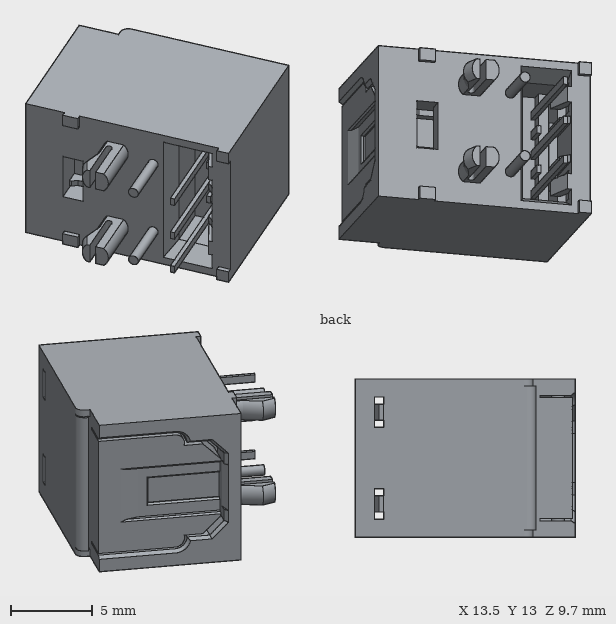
import cadquery as cq
import math

LENGTH = 13.5
HEIGHT = 9.7
BACK_Y = 9.7
SHOULDER_Y = 8.9
SHOULDER_X = 2.59
LIP_X = 2.42
LIP_HALF_WIDTH = 4.41
LIP_ROUND = 0.54
LIP_GAP = 0.14
LIP_GAP_END_X = 3.24
PIN_REACH = 3.3

NUB_HEIGHT = 0.3
NUB_WIDTH = 0.78
NUB_SPANS = [(2.55, 3.56), (12.72, LENGTH)]

MOUTH_EDGE_Y = 0.78
MOUTH_WALL_Y = 1.01
MOUTH_ARC_Y = 4.09
CHAMFER_DEPTH = 0.25
MOUTH_DEPTH = 2.16
SHUTTER_X = 0.19
SHUTTER_END_Y = 1.22
RELIEF_DEPTH = 0.81
HINGE_Y = 8.05
HINGE_DIAMETER = 0.8
HINGE_REACH = 3.92

RECESS_RAMP_START_Y = 7.48
RECESS_RAMP_END_Y = 6.36
RECESS_DEPTH = 0.35
RECESS_HALF_WIDTH = 1.75
RECESS_EDGE = 0.11
INNER_RECESS_Y = 5.79
INNER_RECESS_HALF_WIDTH = 0.93
INNER_RECESS_DEPTH = 0.22
INNER_EDGE_DEPTH = 0.14

LATCH_X0, LATCH_X1 = 2.46, 3.8
LATCH_HALF_WIDTH = 1.51
LATCH_DEPTH = 1.89
LATCH_UNDERCUT_X = 4.45
RAIL_Z0, RAIL_Z1 = 1.01, 1.39
RAIL_X = 2.58
RAIL_RAMP = 0.36
RAIL_HIGH_Y = 1.08
RAIL_LOW_Y = 1.28

BAY_X0, BAY_X1 = 9.07, 12.3
BAY_HALF_WIDTH = 4.33
BAY_FLOOR_X0 = 9.57
BAY_FLOOR_HALF_WIDTH = 3.74
BAY_TAPER_DEPTH = 1.35
BAY_DEPTH = 4.05
BLOCK_X0, BLOCK_X1 = 11.12, 11.76
BLOCK_Y = 3.24
BAY_WALL = 0.66
UNDERCUT = 0.54
STOP_HALF_WIDTH = 1.89
STOP_Y = 3.12
RIB_Z0, RIB_Z1 = 1.01, 1.48
RIB_LEAD_Y = 0.23
HOOK_X0, HOOK_X1 = 11.42, 12.04
HOOK_Z0, HOOK_Z1 = 2.31, 3.31
HOOK_DEPTH = 1.65
HOOK_THICKNESS = 0.61

CONTACT_COUNT = 5
CONTACT_PITCH = 1.27
CONTACT_WIDTH = 0.49
CONTACT_THICKNESS = 0.27
SHORT_CONTACT_Y = 2.7
POST_X, POST_Z = 8.41, 2.54
POST_DIAMETER = 0.65
CLIP_X, CLIP_Z = 5.93, 2.81
CLIP_DIAMETER = 1.66
CLIP_HALF_WIDTH = 0.63
CLIP_SLOT_X = 5.54
CLIP_SLOT_WIDTH = 0.39
CLIP_SLOT_TOP = 0.43
BARB_START, BARB_PEAK = 1.28, 2.46
BARB_BULGE = 0.38
BARB_TIP_BULGE = 0.05


def box(x0, x1, y0, y1, z0, z1):
    """Axis-aligned block between the given limits."""
    return cq.Workplane("XY").box(x1 - x0, y1 - y0, z1 - z0, centered=False).translate((x0, y0, z0))


def plate(points, z0, z1):
    """Polygon in x and y, spanning z0 to z1."""
    return cq.Workplane("XY").workplane(offset=z0).polyline(points).close().extrude(z1 - z0)


def both_sides(solid):
    """The solid together with its mirror image across z = 0."""
    return solid.union(solid.mirror("XY"))


def tapered_prism(x0, x1, outline0, outline1):
    """Straight-ruled solid between two sketched wires lying at x0 and x1."""
    return cq.Workplane(cq.Solid.makeLoft([outline0(x0).wires().val(), outline1(x1).wires().val()], True))


def mouth_outline(side_z, step_z, slant_y, end_y, end_z, radius):
    """Function that sketches the plug-shaped outline at a given x.

    From the shoulder, straight sides lead to a rounded corner, a step, a slant and the flat end.
    """
    arc_z = side_z - radius
    sweep = math.asin((step_z - arc_z) / radius)
    middle = (sweep + math.pi / 2) / 2

    def on_arc(angle, sign):
        return (MOUTH_ARC_Y - radius * math.cos(angle), sign * (arc_z + radius * math.sin(angle)))

    def sketch(x):
        return (
            cq.Workplane("YZ")
            .workplane(offset=x)
            .moveTo(SHOULDER_Y, side_z)
            .lineTo(MOUTH_ARC_Y, side_z)
            .threePointArc(on_arc(middle, 1), on_arc(sweep, 1))
            .lineTo(slant_y, step_z)
            .lineTo(end_y, end_z)
            .lineTo(end_y, -end_z)
            .lineTo(slant_y, -step_z)
            .lineTo(*on_arc(sweep, -1))
            .threePointArc(on_arc(middle, -1), (MOUTH_ARC_Y, -side_z))
            .lineTo(SHOULDER_Y, -side_z)
            .close()
        )

    return sketch


mouth_rim = mouth_outline(
    side_z=4.02, step_z=3.3, slant_y=1.81, end_y=MOUTH_EDGE_Y, end_z=2.28, radius=0.95
)
mouth_wall = mouth_outline(
    side_z=3.85, step_z=3.13, slant_y=1.9, end_y=MOUTH_WALL_Y, end_z=2.24, radius=0.77
)
shutter_outline = mouth_outline(
    side_z=3.71, step_z=2.97, slant_y=2.35, end_y=SHUTTER_END_Y, end_z=1.88, radius=0.6
)


def rounded_back(x0, half_width):
    """Slab of the housing whose rear mouth-side corner is rounded."""
    slab = box(x0, LENGTH, 0, BACK_Y, -half_width, half_width)
    return slab.edges("|Z and <X and >Y").fillet(LIP_ROUND)


def housing():
    """Block with a raised, rounded back and standoff nubs on the board face."""
    body = box(0, LENGTH, 0, SHOULDER_Y, -HEIGHT / 2, HEIGHT / 2)
    body = body.union(rounded_back(SHOULDER_X, HEIGHT / 2)).union(rounded_back(LIP_X, LIP_HALF_WIDTH))
    gap_top = SHOULDER_Y + LIP_GAP
    body = body.cut(box(LIP_X, LIP_GAP_END_X, SHOULDER_Y, gap_top, -LIP_HALF_WIDTH, LIP_HALF_WIDTH))
    for x0, x1 in NUB_SPANS:
        nub = box(x0, x1, -NUB_HEIGHT, 0, HEIGHT / 2 - NUB_WIDTH, HEIGHT / 2)
        body = body.union(both_sides(nub))
    return body


def mouth():
    """Chamfered opening, with a longer lead-in in line with the latch window."""
    opening = mouth_wall(0).extrude(MOUTH_DEPTH)
    opening = opening.union(tapered_prism(0, CHAMFER_DEPTH, mouth_rim, mouth_wall))
    lead_in = [(0, MOUTH_EDGE_Y), (RELIEF_DEPTH, MOUTH_WALL_Y), (0, MOUTH_WALL_Y)]
    return opening.union(plate(lead_in, -LATCH_HALF_WIDTH, LATCH_HALF_WIDTH))


def shutter():
    """Shutter filling the mouth, with two nested recesses and hinge pins."""
    face = SHUTTER_X
    door = shutter_outline(face).extrude(MOUTH_DEPTH - face)

    floor = face + RECESS_DEPTH
    ramped = plate(
        [(face, SHUTTER_END_Y), (face, RECESS_RAMP_START_Y), (floor, RECESS_RAMP_END_Y), (floor, SHUTTER_END_Y)],
        -RECESS_HALF_WIDTH,
        RECESS_HALF_WIDTH,
    )
    wall_z = RECESS_HALF_WIDTH - RECESS_EDGE
    edged = (
        cq.Workplane("XZ", origin=(0, BACK_Y, 0))
        .polyline([(face, RECESS_HALF_WIDTH), (face + RECESS_EDGE, wall_z), (floor, wall_z)])
        .lineTo(floor, -wall_z)
        .lineTo(face + RECESS_EDGE, -wall_z)
        .lineTo(face, -RECESS_HALF_WIDTH)
        .close()
        .extrude(BACK_Y)
    )
    door = door.cut(ramped.intersect(edged))

    def inner_outline(inset):
        width = 2 * (INNER_RECESS_HALF_WIDTH - inset)
        length = INNER_RECESS_Y - inset
        return lambda x: cq.Workplane("YZ").workplane(offset=x).center(length / 2, 0).rect(length, width)

    inner_bottom = inner_outline(RECESS_EDGE)
    door = door.cut(tapered_prism(floor, floor + INNER_EDGE_DEPTH, inner_outline(0), inner_bottom))
    door = door.cut(inner_bottom(floor).extrude(INNER_RECESS_DEPTH))

    hinge = cq.Workplane("XY", origin=(MOUTH_DEPTH / 2, HINGE_Y, 0)).circle(HINGE_DIAMETER / 2)
    return door.union(hinge.extrude(HINGE_REACH, both=True))


def latch_window():
    """Window in the board face, undercut behind the wall, with a ramped rail near each end."""
    window = box(LATCH_X0, LATCH_X1, 0, LATCH_DEPTH, -LATCH_HALF_WIDTH, LATCH_HALF_WIDTH)
    undercut = box(LATCH_X1, LATCH_UNDERCUT_X, MOUTH_WALL_Y, LATCH_DEPTH, -LATCH_HALF_WIDTH, LATCH_HALF_WIDTH)
    rail = plate(
        [
            (LATCH_X0, LATCH_DEPTH),
            (LATCH_X0, RAIL_HIGH_Y),
            (RAIL_X, RAIL_HIGH_Y),
            (RAIL_X + RAIL_RAMP, RAIL_LOW_Y),
            (LATCH_UNDERCUT_X, RAIL_LOW_Y),
            (LATCH_UNDERCUT_X, LATCH_DEPTH),
        ],
        RAIL_Z0,
        RAIL_Z1,
    )
    return window.union(undercut).cut(both_sides(rail))


def contact_bay():
    """Funnel-shaped bay open to the board face, with a slot at each end right through to the back."""

    def section(y, x0, half_width):
        corners = [(x0, -half_width), (BAY_X1, -half_width), (BAY_X1, half_width), (x0, half_width)]
        return cq.Wire.makePolygon([cq.Vector(x, y, z) for x, z in corners], close=True)

    width = BAY_FLOOR_HALF_WIDTH
    rim = section(0, BAY_X0, BAY_HALF_WIDTH)
    throat = section(BAY_TAPER_DEPTH, BAY_FLOOR_X0, width)
    bay = cq.Workplane(cq.Solid.makeLoft([rim, throat], True))
    bay = bay.union(box(BAY_FLOOR_X0, BLOCK_X0, BAY_TAPER_DEPTH, BAY_DEPTH, -width, width))
    bay = bay.union(box(BLOCK_X0, BLOCK_X1, BAY_TAPER_DEPTH, BLOCK_Y, -width, width))
    bay = bay.union(box(BLOCK_X1, BAY_X1, BAY_TAPER_DEPTH, STOP_Y, -width, width))

    slot = box(BLOCK_X1, BAY_X1, BAY_WALL, BACK_Y, STOP_HALF_WIDTH, width)
    undercut = box(BAY_X1, BAY_X1 + UNDERCUT, BAY_WALL, STOP_Y, STOP_HALF_WIDTH, width)
    return bay.union(both_sides(slot.union(undercut)))


def hook():
    """Leaning snap finger rooted in the bay wall, with a clear gap behind it."""
    profile = [
        (HOOK_X1, 0),
        (HOOK_X0, HOOK_DEPTH),
        (HOOK_X0 + HOOK_THICKNESS, HOOK_DEPTH),
        (HOOK_X1 + HOOK_THICKNESS, 0),
    ]
    return plate(profile, HOOK_Z0, HOOK_Z1)


def guide_rib():
    """Rib on the bay wall whose outer end slopes at 45 degrees."""
    slope_end_y = RIB_LEAD_Y + (BAY_X1 - BLOCK_X1)
    profile = [(BAY_X1, RIB_LEAD_Y), (BLOCK_X1, slope_end_y), (BLOCK_X1, STOP_Y), (BAY_X1, STOP_Y)]
    return plate(profile, RIB_Z0, RIB_Z1)


def contact(index):
    """Contact strip; the even ones reach through the board, the odd ones stay inside the bay."""
    z = (index - (CONTACT_COUNT - 1) / 2) * CONTACT_PITCH
    tip_y = -PIN_REACH if index % 2 == 0 else SHORT_CONTACT_Y
    half_width = CONTACT_WIDTH / 2
    return box(BLOCK_X0 - CONTACT_THICKNESS, BLOCK_X0, tip_y, BAY_DEPTH, z - half_width, z + half_width)


def post():
    """Round locating post."""
    return cq.Workplane("XZ", origin=(POST_X, 0, POST_Z)).circle(POST_DIAMETER / 2).extrude(PIN_REACH)


def clip():
    """Split round clip with flat sides and a barbed leg."""
    radius = CLIP_DIAMETER / 2
    chord = math.sqrt(radius**2 - CLIP_HALF_WIDTH**2)
    slot_end = CLIP_SLOT_X + CLIP_SLOT_WIDTH

    def leg_section(depth, bulge):
        return (
            cq.Workplane("XZ", origin=(0, -depth, CLIP_Z))
            .moveTo(CLIP_SLOT_X, CLIP_HALF_WIDTH)
            .lineTo(CLIP_X - chord - bulge, CLIP_HALF_WIDTH)
            .threePointArc((CLIP_X - radius - bulge, 0), (CLIP_X - chord - bulge, -CLIP_HALF_WIDTH))
            .lineTo(CLIP_SLOT_X, -CLIP_HALF_WIDTH)
            .close()
            .wires()
            .val()
        )

    shank = cq.Workplane("XZ", origin=(CLIP_X, 0, CLIP_Z)).circle(radius).extrude(PIN_REACH)
    z0, z1 = CLIP_Z - CLIP_HALF_WIDTH, CLIP_Z + CLIP_HALF_WIDTH
    shank = shank.intersect(box(0, LENGTH, -PIN_REACH, 0, z0, z1))
    shank = shank.cut(box(0, CLIP_SLOT_X, -PIN_REACH, -BARB_START, z0, z1))

    slot_radius = CLIP_SLOT_WIDTH / 2
    slot_round_y = -CLIP_SLOT_TOP - slot_radius
    slot = box(CLIP_SLOT_X, slot_end, -PIN_REACH, slot_round_y, z0, z1)
    slot_round = cq.Workplane("XY", origin=(CLIP_SLOT_X + slot_radius, slot_round_y, z0))
    shank = shank.cut(slot).cut(slot_round.circle(slot_radius).extrude(z1 - z0))

    start = leg_section(BARB_START, 0)
    peak = leg_section(BARB_PEAK, BARB_BULGE)
    tip = leg_section(PIN_REACH, BARB_TIP_BULGE)
    for upper, lower in ((start, peak), (peak, tip)):
        shank = shank.union(cq.Workplane(cq.Solid.makeLoft([upper, lower], True)))
    return shank


result = housing().cut(mouth()).union(shutter())
result = result.cut(latch_window()).cut(contact_bay())
for side_feature in (hook(), guide_rib(), post(), clip()):
    result = result.union(both_sides(side_feature))
for contact_index in range(CONTACT_COUNT):
    result = result.union(contact(contact_index))